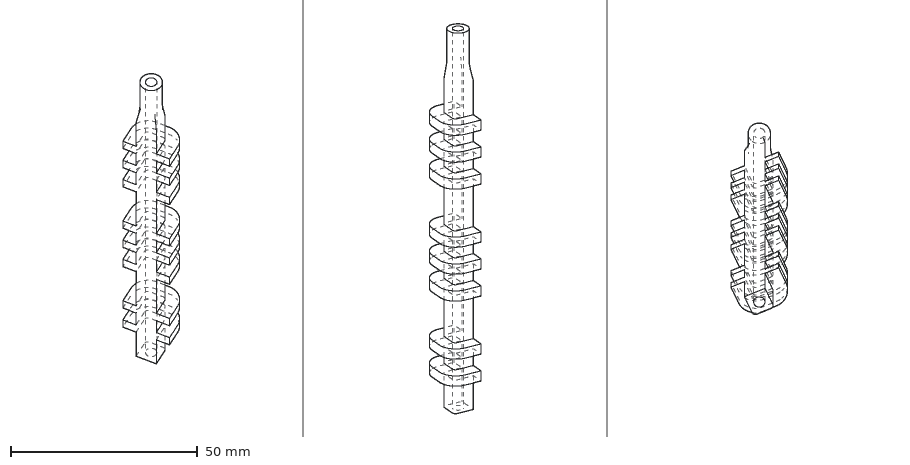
import cadquery as cq
import math

total_length = 112.0
stem_side = 6.0
stem_corner_radius = 1.0

tube_diameter = stem_side
tube_length = 10.0
transition_length = 5.0
bore_diameter = 3.0

fin_width = 14.0
fin_depth = 10.0
fin_thickness = 3.0
fin_corner_radius = 5.0
fin_pitch = 8.0
fin_group_pitch = 33.0
first_fin_height = 10.0

tube_base = total_length - tube_length
stem_length = tube_base - transition_length
half_side = stem_side / 2
front_y = -half_side
second_group_height = first_fin_height + fin_group_pitch - fin_pitch
third_group_height = second_group_height + fin_group_pitch

fin_groups = [
    (first_fin_height, 2),
    (second_group_height, 3),
    (third_group_height, 3),
]


def rounded_back_bar(width, depth, radius, base, height):
    """Upright bar with a flat front and two rounded vertical edges at the back."""
    bar = cq.Workplane("XY").box(width, depth, height, centered=(True, False, False))
    return bar.edges("|Z and >Y").fillet(radius).translate((0, front_y, base))


def make_transition():
    """Blend from the stem outline to the tube circle.

    Each corner of the stem outline meets the circle in the same direction from
    the axis, so the circle is split into one arc per side or rounded corner.
    """
    diagonal_part = math.sqrt(0.5)

    flat_end = half_side - stem_corner_radius
    corner_middle = flat_end + stem_corner_radius * diagonal_part

    tube_radius = tube_diameter / 2
    diagonal = tube_radius * diagonal_part
    corner_distance = math.hypot(half_side, flat_end)
    arc_far = tube_radius * half_side / corner_distance
    arc_near = tube_radius * flat_end / corner_distance

    return (
        cq.Workplane("XY", origin=(0, 0, stem_length))
        .moveTo(-half_side, front_y)
        .lineTo(half_side, front_y)
        .lineTo(half_side, flat_end)
        .threePointArc((corner_middle, corner_middle), (flat_end, half_side))
        .lineTo(-flat_end, half_side)
        .threePointArc((-corner_middle, corner_middle), (-half_side, flat_end))
        .close()
        .workplane(offset=transition_length)
        .moveTo(-diagonal, -diagonal)
        .threePointArc((0, -tube_radius), (diagonal, -diagonal))
        .threePointArc((tube_radius, 0), (arc_far, arc_near))
        .threePointArc((diagonal, diagonal), (arc_near, arc_far))
        .threePointArc((0, tube_radius), (-arc_near, arc_far))
        .threePointArc((-diagonal, diagonal), (-arc_far, arc_near))
        .threePointArc((-tube_radius, 0), (-diagonal, -diagonal))
        .close()
        .loft(ruled=True)
    )


stem = rounded_back_bar(stem_side, stem_side, stem_corner_radius, 0, stem_length)
tube = cq.Workplane("XY", origin=(0, 0, tube_base)).circle(tube_diameter / 2).extrude(tube_length)
body = stem.union(make_transition()).union(tube)

for group_height, fin_count in fin_groups:
    for index in range(fin_count):
        fin_height = group_height + index * fin_pitch
        fin = rounded_back_bar(fin_width, fin_depth, fin_corner_radius, fin_height, fin_thickness)
        body = body.union(fin)

bore = cq.Workplane("XY").circle(bore_diameter / 2).extrude(total_length)
result = body.cut(bore)